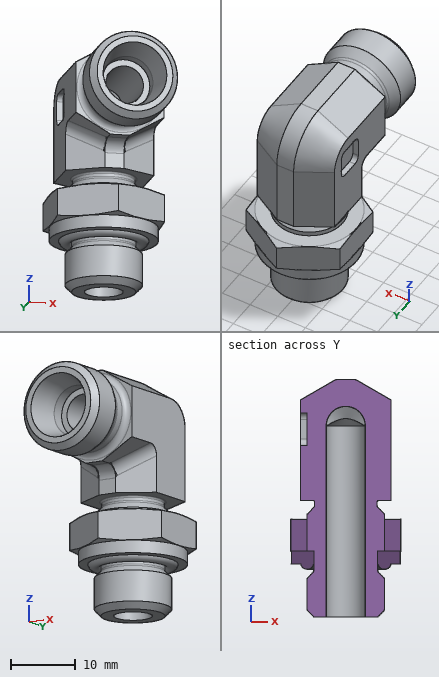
import cadquery as cq
import math

total_height = 36.72
block_width = 14.0
block_half_depth = 7.2
port_axis_z = total_height - block_half_depth
block_bottom_z = 18.0
block_front = 10.98
port_end = 21.0
crease_radius = 2.0

bore_diameter = 6.0
drill_point_angle = 118.0
seat_mouth_diameter = 10.1
seat_diameter = 8.0
seat_half_angle = 12.0
seat_depth = 7.0

port_diameter = 14.0
port_neck_diameter = 11.7
port_thread_length = 5.45
port_chamfer = 1.0
port_cone_half_angle = 30.0
port_face_fillet = 1.0
port_cone_fillet = 1.0

stem_diameter = 12.0
stem_end_diameter = 9.9
upper_neck_diameter = 9.7
groove_diameter = 9.9
lower_thread_top_z = 5.95
upper_thread_top_z = 15.9
stem_face_fillet = 0.3
stem_cone_fillet = 0.4

nut_width = 17.0
nut_top_z = 15.13
nut_bottom_z = 10.15
nut_face_diameter = 16.9
nut_chamfer_angle = 15.0
washer_diameter = 16.9
washer_bottom_z = 8.15
bead_diameter = 14.0
bead_bottom_z = 7.35

recess_size = 5.0
recess_corner_radius = 1.0
recess_offset = 0.5
recess_depth = 1.0


def turned(points):
    """Revolve an outline of (radius, height) points about Z."""
    return cq.Workplane("XZ").polyline(points).close().revolve(360, (0, 0, 0), (0, 1, 0))


def along_port(shape):
    """Move a shape built along Z from the origin onto the port axis, pointing to -Y."""
    return shape.rotate((0, 0, 0), (1, 0, 0), 90).translate((0, 0, port_axis_z))


def fillet_circle(body, center, radius):
    """Round the circular edge whose center is given."""
    reach = 0.005
    low = [c - reach for c in center]
    high = [c + reach for c in center]
    return body.edges(cq.selectors.BoxSelector(low, high)).fillet(radius)


def block_outline():
    """Hexagon with two flats facing X and its two other corners cut flat."""
    half_width = block_width / 2
    side_half = half_width * math.tan(math.radians(30))
    flat_half = (2 * side_half - block_half_depth) * math.tan(math.radians(60))
    upper = [
        (half_width, side_half),
        (flat_half, block_half_depth),
        (-flat_half, block_half_depth),
        (-half_width, side_half),
    ]
    return upper, [(-x, -y) for x, y in upper]


def make_block():
    upper, lower = block_outline()
    half_width = block_width / 2
    stem_arm = (
        cq.Workplane("XY", origin=(0, 0, block_bottom_z))
        .polyline(upper + lower).close().extrude(port_axis_z - block_bottom_z)
    )
    port_arm = along_port(cq.Workplane("XY").polyline(upper + lower).close().extrude(block_front))
    bend = (
        cq.Workplane("XY", origin=(0, 0, port_axis_z))
        .polyline([(half_width, 0)] + upper + [(-half_width, 0)]).close()
        .revolve(90, (0, 0, 0), (1, 0, 0))
    )
    block = stem_arm.union(port_arm).union(bend).clean()
    near = block_half_depth / 2
    far = block_half_depth + crease_radius / 2
    inside = half_width - crease_radius / 2
    crease_zone = cq.selectors.BoxSelector(
        (-inside, -far, port_axis_z - far),
        (inside, -near, port_axis_z - near),
    )
    return block.edges(crease_zone).fillet(crease_radius)


def make_port():
    radius = port_diameter / 2
    neck_radius = port_neck_diameter / 2
    thread_start = port_end - port_thread_length
    cone_start = thread_start - (radius - neck_radius) / math.tan(math.radians(port_cone_half_angle))
    port = turned([
        (0, 0),
        (neck_radius, 0),
        (neck_radius, cone_start),
        (radius, thread_start),
        (radius, port_end - port_chamfer),
        (radius - port_chamfer, port_end),
        (0, port_end),
    ])
    port = fillet_circle(port, (0, 0, cone_start), port_cone_fillet)
    return along_port(port)


def make_stem():
    radius = stem_diameter / 2
    end_radius = stem_end_diameter / 2
    neck_radius = upper_neck_diameter / 2
    groove_radius = groove_diameter / 2
    lower_cone_end = lower_thread_top_z + radius - groove_radius
    upper_cone_end = upper_thread_top_z + radius - neck_radius
    stem = turned([
        (0, 0),
        (end_radius, 0),
        (radius, radius - end_radius),
        (radius, lower_thread_top_z),
        (groove_radius, lower_cone_end),
        (groove_radius, nut_bottom_z),
        (radius, nut_bottom_z),
        (radius, upper_thread_top_z),
        (neck_radius, upper_cone_end),
        (neck_radius, port_axis_z),
        (0, port_axis_z),
    ])
    for cone_end in (lower_cone_end, upper_cone_end):
        stem = fillet_circle(stem, (0, 0, cone_end), stem_cone_fillet)
    return stem


def drilled_bore(length):
    """Bore from the origin up to the given height, ending in a drill point."""
    radius = bore_diameter / 2
    tip = radius / math.tan(math.radians(drill_point_angle / 2))
    return turned([(0, 0), (radius, 0), (radius, length), (0, length + tip)])


def make_tube_seat():
    mouth_radius = seat_mouth_diameter / 2
    seat_radius = seat_diameter / 2
    cone_depth = (mouth_radius - seat_radius) / math.tan(math.radians(seat_half_angle))
    return along_port(turned([
        (0, port_end - seat_depth),
        (seat_radius, port_end - seat_depth),
        (seat_radius, port_end - cone_depth),
        (mouth_radius, port_end),
        (0, port_end),
    ]))


def make_recess():
    side = -block_width / 2
    return (
        cq.Workplane("XY")
        .box(2 * recess_depth, recess_size, recess_size)
        .edges("|X").fillet(recess_corner_radius)
        .translate((side, -recess_offset, port_axis_z - recess_offset))
    )


def make_elbow():
    elbow = make_block().union(make_port()).union(make_stem())
    elbow = fillet_circle(elbow, (0, -block_front, port_axis_z), port_face_fillet)
    elbow = fillet_circle(elbow, (0, 0, block_bottom_z), stem_face_fillet)
    port_bore = along_port(
        drilled_bore(port_end).rotate((0, 0, 0), (1, 0, 0), 180).translate((0, 0, port_end))
    )
    return (
        elbow.cut(drilled_bore(port_axis_z))
        .cut(port_bore)
        .cut(make_tube_seat())
        .cut(make_recess())
    )


def make_locknut():
    corner_diameter = nut_width / math.cos(math.radians(30))
    hexagon = (
        cq.Workplane("XY", origin=(0, 0, nut_bottom_z))
        .polygon(6, corner_diameter).extrude(nut_top_z - nut_bottom_z)
        .rotate((0, 0, 0), (0, 0, 1), 30)
    )
    face_radius = nut_face_diameter / 2
    corner_radius = corner_diameter / 2
    drop = (corner_radius - face_radius) * math.tan(math.radians(nut_chamfer_angle))
    chamfer_envelope = turned([
        (0, nut_bottom_z),
        (face_radius, nut_bottom_z),
        (corner_radius, nut_bottom_z + drop),
        (corner_radius, nut_top_z - drop),
        (face_radius, nut_top_z),
        (0, nut_top_z),
    ])
    thread_hole = (
        cq.Workplane("XY", origin=(0, 0, nut_bottom_z))
        .circle(stem_diameter / 2).extrude(nut_top_z - nut_bottom_z)
    )
    return hexagon.intersect(chamfer_envelope).cut(thread_hole)


def make_sealing_washer():
    """Flat washer in the stem groove, with a round sealing bead under it."""
    inner_radius = groove_diameter / 2
    outer_radius = washer_diameter / 2
    bead_radius = bead_diameter / 2
    bead_middle_radius = (inner_radius + bead_radius) / 2
    return (
        cq.Workplane("XZ")
        .moveTo(inner_radius, washer_bottom_z)
        .lineTo(inner_radius, nut_bottom_z)
        .lineTo(outer_radius, nut_bottom_z)
        .lineTo(outer_radius, washer_bottom_z)
        .lineTo(bead_radius, washer_bottom_z)
        .threePointArc((bead_middle_radius, bead_bottom_z), (inner_radius, washer_bottom_z))
        .close()
        .revolve(360, (0, 0, 0), (0, 1, 0))
    )


elbow = make_elbow()
locknut = make_locknut()
sealing_washer = make_sealing_washer()

result = cq.Compound.makeCompound([elbow.val(), locknut.val(), sealing_washer.val()])